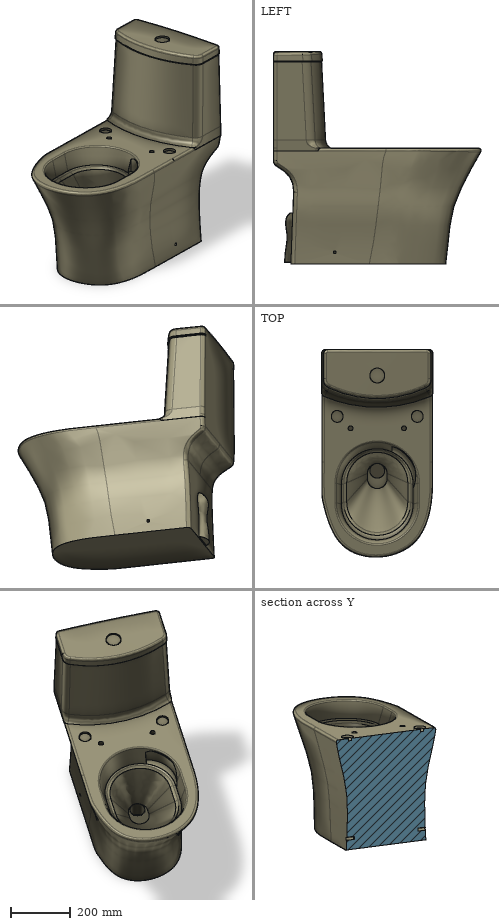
import cadquery as cq
import math


HALF_WIDTH = 374.77 / 2
HEIGHT = 717.51

BEYOND = 1500.0
MARGIN = 1.0

DECK_Z = 391.0
RIM_ROUND = 9.0
REAR_ROUND = 13.0
PEDESTAL_SECTIONS = [
    (0.0, 149.5, 581.0),
    (65.0, 146.5, 588.5),
    (130.0, 145.0, 595.5),
    (195.0, 148.0, 608.5),
    (260.0, 159.0, 635.0),
    (325.0, 175.0, 668.5),
    (DECK_Z, 187.8, 708.7),
]
NOSE_WIDTH_RATIO = 0.975
NOSE_TAPER_RATIO = 0.75

REAR_FOOT_Y = -59.0
REAR_WAIST_Y = -68.0
REAR_WAIST_Z = 245.0
REAR_TOP_Z = 352.0
REAR_EDGE_MIN_X = 140.0
REAR_CURVE = [(-54.0, 296.0), (-15.0, 328.0)]

OUTLET_AXIS_Y = -93.0
OUTLET_BOTTOM_Z = 6.0
OUTLET_TOP_Z = 173.0
OUTLET_FOOT_RADIUS = 55.0
OUTLET_NECK_RADIUS = 51.5
OUTLET_NECK_Z = 52.0
OUTLET_WAIST_RADIUS = 47.0
OUTLET_WAIST_Z = 95.0
OUTLET_HEAD_RADIUS = 49.5
OUTLET_HEAD_Z = 155.0
OUTLET_CROWN_RADIUS = 36.0

TANK_TOP_Z = 681.0
TANK_TOP_HALF_WIDTH = 179.5
TANK_TOP_FRONT = 163.0
TANK_FOOT_Z = 418.0
TANK_FOOT_FRONT = 177.0
TANK_CORNER_RUN = 30.0
TANK_CORNER_INSET = 19.0
CORNER_MID_INSET = 0.27
CORNER_MID_RUN = 0.36
TANK_FRONT_BOW = 36.0
FLARE_FRONT = 195.0
FLARE_STEPS = 4
FLARE_END_ANGLE = 72.0
FLARE_CORNER_LOSS = 0.5

LID_BOTTOM_Z = 685.0
LID_HALF_WIDTH = 181.5
LID_FRONT = 166.0
LID_GAP_INSET = 4.0
LID_ROUND = 9.0
CROWN_RADIUS = 4100.0
CROWN_Y = -80.0
BUTTON_Y = -88.0
BUTTON_DIAMETER = 50.0
BUTTON_DEPTH = 6.0
CROWN_RISE = (BUTTON_DIAMETER / 2 - abs(BUTTON_Y - CROWN_Y)) ** 2 / (2 * CROWN_RADIUS)

SEAT_POCKET_DIAMETER = 40.0
SEAT_POCKET_DEPTH = 8.0
SEAT_POCKET_X = 135.0
SEAT_POCKET_Y = -226.0
SEAT_BOLT_DIAMETER = 16.0
SEAT_BOLT_DEPTH = 40.0
SEAT_BOLT_X = 90.0
SEAT_BOLT_Y = -266.0
FLOOR_BOLT_DIAMETER = 9.0
FLOOR_BOLT_DEPTH = 30.0
FLOOR_BOLT_Y = -207.0
FLOOR_BOLT_Z = 40.0

OPENING_OVAL = (139.0, -312.0, -656.0)
LEDGE_OVAL = (121.0, -335.0, -642.0)
SHOULDER_OVAL = (113.0, -340.0, -627.0)
MOUTH_OVAL = (103.0, -347.0, -617.0)
DRAIN_OVAL = (33.0, -385.0, -469.0)
OPENING_ROUND = 5.0
LEDGE_Z = 330.0
SHOULDER_Z = 327.0
MOUTH_Z = 320.0
DRAIN_Z = 170.0
DRAIN_Y = -409.0
DRAIN_DIAMETER = 50.0
DRAIN_DEPTH = 60.0

RECESS_RADIUS = 100.0
RECESS_START_X = 49.0
RECESS_TOP_Z = 382.0
RECESS_ANGLE = math.radians(40.0)


def level(z):
    return cq.Workplane("XY").workplane(offset=z)


def loft_wires(wires, ruled=False):
    return cq.Workplane(obj=cq.Solid.makeLoft(wires, ruled))


def pedestal_section(z, half_width, front):
    """Flat back, straight sides that taper slightly into a round nose."""
    nose_radius = half_width * NOSE_WIDTH_RATIO
    nose_y = nose_radius - front
    side_end_y = nose_y + half_width * NOSE_TAPER_RATIO
    diagonal = nose_radius * math.sqrt(0.5)
    nose_points = [
        (nose_radius, nose_y),
        (diagonal, nose_y - diagonal),
        (0, -front),
        (-diagonal, nose_y - diagonal),
        (-nose_radius, nose_y),
        (-half_width, side_end_y),
    ]
    return (
        level(z)
        .moveTo(-half_width, 0)
        .lineTo(half_width, 0)
        .lineTo(half_width, side_end_y)
        .spline(nose_points, tangents=[(0, -1), (0, 1)], includeCurrent=True)
        .close()
        .val()
    )


def make_pedestal():
    body = loft_wires([pedestal_section(*section) for section in PEDESTAL_SECTIONS])
    keep = (
        cq.Workplane("YZ")
        .moveTo(-BEYOND, -MARGIN)
        .lineTo(REAR_FOOT_Y, -MARGIN)
        .lineTo(REAR_FOOT_Y, 0)
        .lineTo(REAR_WAIST_Y, REAR_WAIST_Z)
        .spline(
            REAR_CURVE + [(0, REAR_TOP_Z)],
            tangents=[(0, 1), (0, 1)],
            includeCurrent=True,
        )
        .lineTo(0, HEIGHT)
        .lineTo(-BEYOND, HEIGHT)
        .close()
        .extrude(BEYOND, both=True)
    )
    body = body.intersect(keep)
    for side in (-1, 1):
        rear_corner = cq.selectors.BoxSelector(
            (side * REAR_EDGE_MIN_X, REAR_WAIST_Y - MARGIN, 0),
            (side * BEYOND, MARGIN, DECK_Z - RIM_ROUND),
        )
        body = body.edges(rear_corner).fillet(REAR_ROUND)
    return body


def make_outlet():
    profile = (
        cq.Workplane("XZ")
        .moveTo(0, OUTLET_BOTTOM_Z)
        .lineTo(OUTLET_FOOT_RADIUS, OUTLET_BOTTOM_Z)
        .spline(
            [
                (OUTLET_NECK_RADIUS, OUTLET_NECK_Z),
                (OUTLET_WAIST_RADIUS, OUTLET_WAIST_Z),
                (OUTLET_HEAD_RADIUS, OUTLET_HEAD_Z),
                (OUTLET_CROWN_RADIUS, OUTLET_TOP_Z),
            ],
            includeCurrent=True,
        )
        .lineTo(0, OUTLET_TOP_Z)
        .close()
    )
    return profile.revolve(360, (0, 0, 0), (0, 1, 0)).translate((0, OUTLET_AXIS_Y, 0))


def tank_section(z, half_width, front, corner_run=TANK_CORNER_RUN, corner_inset=TANK_CORNER_INSET):
    """Rounded back corners, straight sides, rounded front corners and a bowed front."""
    bow_y = -front + TANK_FRONT_BOW
    side_y = bow_y + corner_run
    bow_x = half_width - corner_inset
    corner_mid = (half_width - corner_inset * CORNER_MID_INSET, bow_y + corner_run * CORNER_MID_RUN)
    back_x = half_width - REAR_ROUND
    back_mid = REAR_ROUND * (1 - math.sqrt(0.5))
    return (
        level(z)
        .moveTo(-back_x, 0)
        .lineTo(back_x, 0)
        .threePointArc((half_width - back_mid, -back_mid), (half_width, -REAR_ROUND))
        .lineTo(half_width, side_y)
        .threePointArc(corner_mid, (bow_x, bow_y))
        .threePointArc((0, -front), (-bow_x, bow_y))
        .threePointArc((-corner_mid[0], corner_mid[1]), (-half_width, side_y))
        .lineTo(-half_width, -REAR_ROUND)
        .threePointArc((-half_width + back_mid, -back_mid), (-back_x, 0))
        .close()
        .val()
    )


def flare_section(z, spread):
    """Outline of the tank foot, from the tank wall (spread 0) to the deck (spread 1)."""
    front = TANK_FOOT_FRONT + (FLARE_FRONT - TANK_FOOT_FRONT) * spread
    run = TANK_CORNER_RUN * (1 - FLARE_CORNER_LOSS * spread)
    inset = TANK_CORNER_INSET * (1 - FLARE_CORNER_LOSS * spread)
    return tank_section(z, HALF_WIDTH, front, run, inset)


def make_tank():
    upper = loft_wires(
        [
            tank_section(TANK_FOOT_Z, HALF_WIDTH, TANK_FOOT_FRONT),
            tank_section(TANK_TOP_Z, TANK_TOP_HALF_WIDTH, TANK_TOP_FRONT),
        ],
        ruled=True,
    )
    end_angle = math.radians(FLARE_END_ANGLE)
    flare_sections = []
    for step in range(FLARE_STEPS + 1):
        angle = end_angle * step / FLARE_STEPS
        z = TANK_FOOT_Z - (TANK_FOOT_Z - DECK_Z) * math.sin(angle) / math.sin(end_angle)
        flare_sections.append(flare_section(z, (1 - math.cos(angle)) / (1 - math.cos(end_angle))))
    flare = loft_wires(flare_sections)
    foot = loft_wires([flare_section(DECK_Z, 1), flare_section(DECK_Z - RIM_ROUND, 1)], ruled=True)
    return upper.union(flare).union(foot)


def make_lid():
    neck_half_width = TANK_TOP_HALF_WIDTH - LID_GAP_INSET
    neck_front = TANK_TOP_FRONT - LID_GAP_INSET
    neck = loft_wires(
        [
            tank_section(TANK_TOP_Z, neck_half_width, neck_front),
            tank_section(LID_BOTTOM_Z, neck_half_width, neck_front),
        ],
        ruled=True,
    )
    slab = loft_wires(
        [
            tank_section(LID_BOTTOM_Z, LID_HALF_WIDTH, LID_FRONT),
            tank_section(HEIGHT + MARGIN, TANK_TOP_HALF_WIDTH, TANK_TOP_FRONT),
        ],
        ruled=True,
    )
    apex_z = HEIGHT + CROWN_RISE
    crown = cq.Workplane("XZ").sphere(CROWN_RADIUS).translate((0, CROWN_Y, apex_z - CROWN_RADIUS))
    lid = slab.intersect(crown)
    lid = lid.faces(">Z").edges().fillet(LID_ROUND)
    return lid.union(neck)


def oval(z, size):
    """Two half circles joined by straight sides along Y."""
    half_width, back_y, front_y = size
    back_centre = back_y - half_width
    front_centre = front_y + half_width
    return (
        level(z)
        .moveTo(half_width, front_centre)
        .lineTo(half_width, back_centre)
        .threePointArc((0, back_y), (-half_width, back_centre))
        .lineTo(-half_width, front_centre)
        .threePointArc((0, front_y), (half_width, front_centre))
        .close()
        .val()
    )


def make_bowl_cavity():
    levels = [
        (DECK_Z, OPENING_OVAL),
        (LEDGE_Z, LEDGE_OVAL),
        (SHOULDER_Z, SHOULDER_OVAL),
        (MOUTH_Z, MOUTH_OVAL),
        (DRAIN_Z, DRAIN_OVAL),
    ]
    cavity = loft_wires([oval(z, size) for z, size in levels], ruled=True)
    drain = level(DRAIN_Z - DRAIN_DEPTH).center(0, DRAIN_Y).circle(DRAIN_DIAMETER / 2)
    return cavity.union(drain.extrude(DRAIN_DEPTH + MARGIN))


def make_flush_recess():
    """Upright disc touching the inside of the opening, kept only beyond its start plane."""
    half_width, back_y, _ = OPENING_OVAL
    offset = half_width - RECESS_RADIUS
    centre_x = offset * math.cos(RECESS_ANGLE)
    centre_y = back_y - half_width + offset * math.sin(RECESS_ANGLE)
    height = RECESS_TOP_Z - LEDGE_Z
    disc = level(LEDGE_Z).center(centre_x, centre_y).circle(RECESS_RADIUS).extrude(height)
    side = cq.Workplane("XY").box(BEYOND, BEYOND, BEYOND, centered=(False, True, True))
    return disc.intersect(side.translate((RECESS_START_X, 0, 0)))


def blind_hole(x, y, top_z, diameter, depth):
    return level(top_z - depth).center(x, y).circle(diameter / 2).extrude(depth + MARGIN)


def make_holes():
    holes = blind_hole(0, BUTTON_Y, HEIGHT, BUTTON_DIAMETER, BUTTON_DEPTH)
    inner_x = PEDESTAL_SECTIONS[0][1] - FLOOR_BOLT_DEPTH
    for side in (-1, 1):
        pocket = blind_hole(
            side * SEAT_POCKET_X, SEAT_POCKET_Y, DECK_Z, SEAT_POCKET_DIAMETER, SEAT_POCKET_DEPTH
        )
        bolt = blind_hole(side * SEAT_BOLT_X, SEAT_BOLT_Y, DECK_Z, SEAT_BOLT_DIAMETER, SEAT_BOLT_DEPTH)
        floor_bolt = (
            cq.Workplane("YZ", origin=(side * inner_x, FLOOR_BOLT_Y, FLOOR_BOLT_Z))
            .circle(FLOOR_BOLT_DIAMETER / 2)
            .extrude(side * FLOOR_BOLT_DEPTH * 2)
        )
        holes = holes.union(pocket).union(bolt).union(floor_bolt)
    return holes


def round_deck_edges(body):
    """Rounds the lip of the bowl opening and the outer rim, but not the back edge."""
    half_width, back_y, front_y = OPENING_OVAL
    opening = cq.selectors.BoxSelector(
        (-half_width - MARGIN, front_y - MARGIN, DECK_Z - MARGIN),
        (half_width + MARGIN, back_y + MARGIN, DECK_Z + MARGIN),
        boundingbox=True,
    )
    body = body.edges(opening).fillet(OPENING_ROUND)
    outer_rim = cq.selectors.InverseSelector(opening)
    return body.faces(">Z").edges("not(>Y)").edges(outer_rim).fillet(RIM_ROUND - MARGIN)


bowl = make_pedestal().cut(make_bowl_cavity())
bowl = round_deck_edges(bowl).cut(make_flush_recess())
result = bowl.union(make_outlet()).union(make_tank()).union(make_lid()).cut(make_holes())